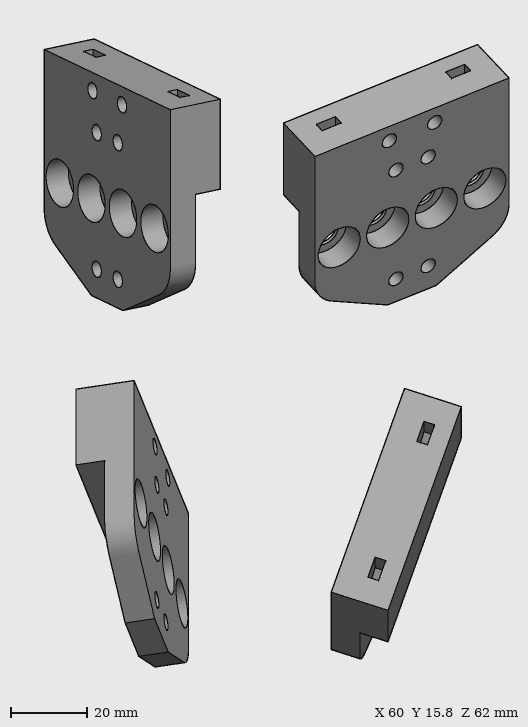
import cadquery as cq
import math

width = 60.0
depth = 15.8
height = 62.0

plate_thickness = 8.0
foot_width = 15.0
taper_height = 12.0
corner_radius = 10.0

block_height = 25.0

bore_count = 4
bore_pitch = 15.0
bore_z = 27.0
bore_diameter = 8.0
counterbore_diameter = 13.0
counterbore_depth = 7.0

blind_diameter = 4.4
blind_depth = 7.0
blind_pairs = [(14.0, 57.0), (10.0, 45.9), (10.0, 8.0)]

slot_spacing = 40.0
slot_width = 5.9
slot_thickness = 3.0
slot_back_wall = 5.0
slot_depth = 10.0
slot_point_angle = 120.0


def front_plate():
    """Plate with a tapered foot and rounded corners where the taper starts."""
    outline = [
        (-foot_width / 2, 0),
        (foot_width / 2, 0),
        (width / 2, taper_height),
        (width / 2, height),
        (-width / 2, height),
        (-width / 2, taper_height),
    ]
    plate = cq.Workplane("XZ").polyline(outline).close().extrude(-plate_thickness)
    corner_box = cq.selectors.BoxSelector(
        (-width, -0.6, taper_height - 0.6),
        (width, depth, taper_height + 0.6),
    )
    return plate.edges("|Y").edges(corner_box).fillet(corner_radius)


def top_block():
    """Full-depth block across the top of the part."""
    return cq.Workplane("XY").box(width, depth, block_height, centered=(True, False, False)).translate(
        (0, 0, height - block_height)
    )


def front_cylinder(x, z, diameter, length):
    """Cylinder running from the front face towards +Y."""
    return cq.Workplane("XZ").center(x, z).circle(diameter / 2).extrude(-length)


def nut_slot(x):
    """Narrow pocket open at the top with a V-shaped bottom."""
    point_drop = slot_width / 2 / math.tan(math.radians(slot_point_angle / 2))
    tip_z = height - slot_depth
    shoulder_z = tip_z + point_drop
    outline = [
        (x - slot_width / 2, height),
        (x - slot_width / 2, shoulder_z),
        (x, tip_z),
        (x + slot_width / 2, shoulder_z),
        (x + slot_width / 2, height),
    ]
    front_y = depth - slot_back_wall - slot_thickness
    slot = cq.Workplane("XZ").polyline(outline).close().extrude(-slot_thickness)
    return slot.translate((0, front_y, 0))


result = front_plate().union(top_block())

for index in range(bore_count):
    bore_x = (index - (bore_count - 1) / 2) * bore_pitch
    result = result.cut(front_cylinder(bore_x, bore_z, bore_diameter, depth))
    result = result.cut(front_cylinder(bore_x, bore_z, counterbore_diameter, counterbore_depth))

for spacing, blind_z in blind_pairs:
    for side in (-1, 1):
        result = result.cut(front_cylinder(side * spacing / 2, blind_z, blind_diameter, blind_depth))

for side in (-1, 1):
    result = result.cut(nut_slot(side * slot_spacing / 2))